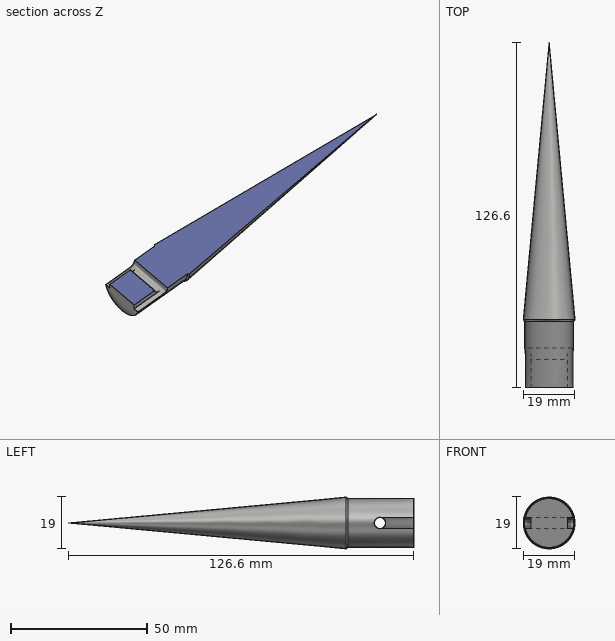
import cadquery as cq

total_length = 126.6
cone_diameter = 19.0

shank_diameter = 18.0
cone_start = 25.0
shoulder_length = 0.8

hole_diameter = 4.0
hole_position = 12.4
slot_floor_spacing = 13.4

cone_radius = cone_diameter / 2
shank_radius = shank_diameter / 2


def make_spike():
    """Solid of revolution: shank, bevelled shoulder and pointed cone."""
    return (
        cq.Workplane("XY")
        .moveTo(0, 0)
        .lineTo(shank_radius, 0)
        .lineTo(shank_radius, cone_start - shoulder_length)
        .lineTo(cone_radius, cone_start)
        .lineTo(0, total_length)
        .close()
        .revolve(360, (0, 0, 0), (0, 1, 0))
    )


def make_cross_hole():
    """Cylinder along X that passes through the whole shank."""
    return (
        cq.Workplane("YZ")
        .center(hole_position, 0)
        .circle(hole_diameter / 2)
        .extrude(cone_radius, both=True)
    )


def make_slot(side):
    """Flat-floored slot from the shank end to the hole; side is -1 or 1 along X."""
    slot_depth = cone_radius - slot_floor_spacing / 2
    slot_center = side * (slot_floor_spacing + slot_depth) / 2
    return (
        cq.Workplane("XY")
        .box(slot_depth, hole_position, hole_diameter)
        .translate((slot_center, hole_position / 2, 0))
    )


result = make_spike().cut(make_cross_hole())
for side in (-1, 1):
    result = result.cut(make_slot(side))